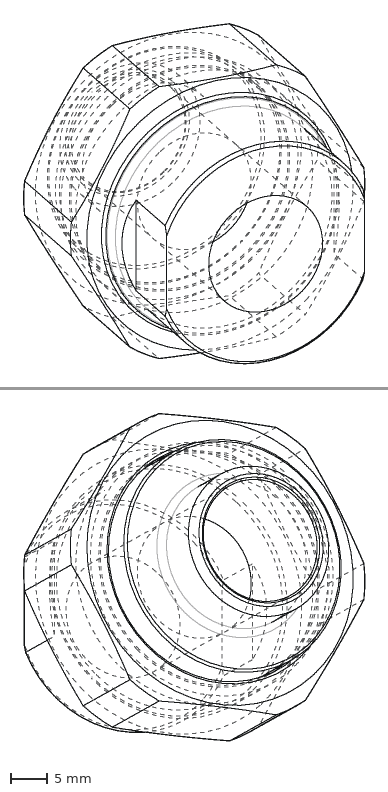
import cadquery as cq
import math

length = 45.5
bore_radius = 17.3 / 2

pipe_radius = 21.3 / 2
pipe_chamfer_length = 0.8
pipe_chamfer_depth = 1.25
bore_chamfer = 0.27
pipe_fillet = 1.0
flange_start = 9.05
flange_radius = 33.0 / 2
flange_chamfer = 0.35

nut_start = 13.5
nut_end = 30.5
nut_across_flats = 41.0
nut_corner_radius = 44.7 / 2
nut_face_radius = 20.2
nut_chamfer_length = 0.77
nut_lip_radius = 33.5 / 2
nut_lip_chamfer = 0.4
nut_lip_length = 3.65
shoulder_start = nut_start + nut_lip_length
collar_radius = 36.0 / 2

seat_x = (nut_start + nut_end) / 2
collar_end = 30.95
collar_chamfer = collar_end - nut_end
end_radius = flange_radius
neck_fillet = 0.85
end_chamfer = 0.5
flat_distance = 15.0
flat_start = 35.45


def revolve_about_x(profile):
    """Turn a closed (x, radius) profile about the X axis."""
    return profile.close().revolve(360, (0, 0, 0), (1, 0, 0))


def fillet_midpoint(center_x, center_radius, radius, toward_x):
    """Middle of a quarter arc bulging toward the axis and along X in the given sense."""
    offset = radius * math.sqrt(0.5)
    return center_x + toward_x * offset, center_radius - offset


def make_tailpiece():
    fillet_x = flange_start - pipe_fillet
    fillet_top = pipe_radius + pipe_fillet
    profile = (
        cq.Workplane("XY")
        .moveTo(bore_chamfer, bore_radius)
        .lineTo(0, bore_radius + bore_chamfer)
        .lineTo(0, pipe_radius - pipe_chamfer_depth)
        .lineTo(pipe_chamfer_length, pipe_radius)
        .lineTo(fillet_x, pipe_radius)
        .threePointArc(
            fillet_midpoint(fillet_x, fillet_top, pipe_fillet, 1),
            (flange_start, fillet_top),
        )
        .lineTo(flange_start, flange_radius - flange_chamfer)
        .lineTo(flange_start + flange_chamfer, flange_radius)
        .lineTo(shoulder_start, flange_radius)
        .lineTo(shoulder_start, collar_radius)
        .lineTo(seat_x, collar_radius)
        .lineTo(seat_x, bore_radius)
    )
    return revolve_about_x(profile)


def make_nut():
    across_corners = nut_across_flats / math.cos(math.pi / 6)
    hexagon = (
        cq.Workplane("YZ", origin=(nut_start, 0, 0))
        .polygon(6, across_corners)
        .extrude(nut_end - nut_start)
    )
    blank = revolve_about_x(
        cq.Workplane("XY")
        .moveTo(nut_start, nut_lip_radius + nut_lip_chamfer)
        .lineTo(nut_start, nut_face_radius)
        .lineTo(nut_start + nut_chamfer_length, nut_corner_radius)
        .lineTo(nut_end - nut_chamfer_length, nut_corner_radius)
        .lineTo(nut_end, nut_face_radius)
        .lineTo(nut_end, collar_radius)
        .lineTo(shoulder_start, collar_radius)
        .lineTo(shoulder_start, nut_lip_radius)
        .lineTo(nut_start + nut_lip_chamfer, nut_lip_radius)
    )
    return hexagon.intersect(blank)


def make_flat_cutter():
    """Material beyond the +Y wrench flat, with a 45 degree run-out."""
    cut_depth = collar_radius - flat_distance
    return (
        cq.Workplane("XY")
        .moveTo(flat_start, flat_distance)
        .lineTo(length, flat_distance)
        .lineTo(length, collar_radius)
        .lineTo(flat_start - cut_depth, collar_radius)
        .close()
        .extrude(collar_radius, both=True)
    )


def make_end_piece():
    fillet_x = collar_end + neck_fillet
    fillet_top = end_radius + neck_fillet
    body = revolve_about_x(
        cq.Workplane("XY")
        .moveTo(seat_x, bore_radius)
        .lineTo(seat_x, collar_radius)
        .lineTo(nut_end, collar_radius)
        .lineTo(collar_end, collar_radius - collar_chamfer)
        .lineTo(collar_end, fillet_top)
        .threePointArc(
            fillet_midpoint(fillet_x, fillet_top, neck_fillet, -1),
            (fillet_x, end_radius),
        )
        .lineTo(length - end_chamfer, end_radius)
        .lineTo(length, end_radius - end_chamfer)
        .lineTo(length, bore_radius)
    )
    flat_cutter = make_flat_cutter()
    return body.cut(flat_cutter).cut(flat_cutter.mirror("XZ"))


tailpiece = make_tailpiece()
nut = make_nut()
end_piece = make_end_piece()

result = cq.Compound.makeCompound([tailpiece.val(), nut.val(), end_piece.val()])